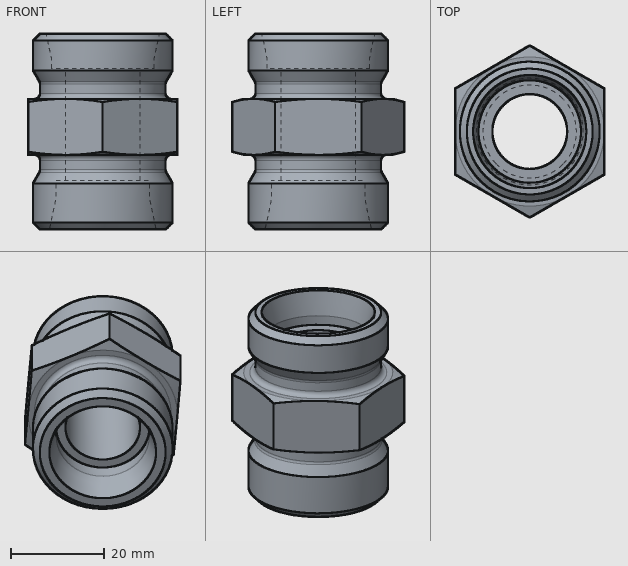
import cadquery as cq
import math


across_flats = 32.0
hex_height = 12.0
hex_chamfer_angle = 15.0

lower_end_length = 16.0
upper_end_length = 14.0
thread_diameter = 30.0
end_chamfer = 1.5

neck_diameter = 27.0
neck_length = 3.5
undercut_flare_angle = 30.0
undercut_radius = 1.2

bore_diameter = 16.0
cone_half_angle = 12.0
upper_tube_diameter = 22.0
upper_mouth_diameter = 24.3
upper_socket_depth = 7.5
lower_tube_diameter = 20.0
lower_mouth_diameter = 22.9
lower_socket_depth = 10.5

total_height = lower_end_length + hex_height + upper_end_length
hex_top = lower_end_length + hex_height
corner_radius = across_flats / 2 / math.cos(math.radians(30))


def revolve_about_z(profile):
    """Turn a closed (radius, height) profile around Z."""
    return profile.close().revolve(360, (0, 0, 0), (0, 1, 0))


def make_hexagon():
    """Hexagon with flats facing +X and -X, its corners turned off at both faces."""
    flat_radius = across_flats / 2
    chamfer_drop = (corner_radius - flat_radius) * math.tan(math.radians(hex_chamfer_angle))
    prism = (
        cq.Workplane("XY")
        .polygon(6, 2 * corner_radius)
        .extrude(hex_height)
        .rotate((0, 0, 0), (0, 0, 1), 30)
    )
    turned_blank = revolve_about_z(
        cq.Workplane("XZ")
        .lineTo(flat_radius, 0)
        .lineTo(corner_radius, chamfer_drop)
        .lineTo(corner_radius, hex_height - chamfer_drop)
        .lineTo(flat_radius, hex_height)
        .lineTo(0, hex_height)
    )
    return prism.intersect(turned_blank)


def make_threaded_end(length):
    """Undercut neck, flare and plain thread cylinder, rising from the hexagon face at Z = 0."""
    neck_radius = neck_diameter / 2
    thread_radius = thread_diameter / 2
    flare = math.radians(undercut_flare_angle)
    flare_end = neck_length + (thread_radius - neck_radius) / math.tan(flare)
    tangent_length = undercut_radius * math.tan(flare / 2)
    return revolve_about_z(
        cq.Workplane("XZ")
        .lineTo(neck_radius + undercut_radius, 0)
        .radiusArc((neck_radius, undercut_radius), undercut_radius)
        .lineTo(neck_radius, neck_length - tangent_length)
        .tangentArcPoint(
            (
                neck_radius + tangent_length * math.sin(flare),
                neck_length + tangent_length * math.cos(flare),
            ),
            relative=False,
        )
        .lineTo(thread_radius, flare_end)
        .lineTo(thread_radius, length - end_chamfer)
        .lineTo(thread_radius - end_chamfer, length)
        .lineTo(0, length)
    )


def make_socket(tube_diameter, mouth_diameter, depth):
    """Tube socket volume with its mouth at Z = 0, reaching up to Z = depth."""
    tube_radius = tube_diameter / 2
    mouth_radius = mouth_diameter / 2
    cone_depth = (mouth_radius - tube_radius) / math.tan(math.radians(cone_half_angle))
    return revolve_about_z(
        cq.Workplane("XZ")
        .lineTo(mouth_radius, 0)
        .lineTo(tube_radius, cone_depth)
        .lineTo(tube_radius, depth)
        .lineTo(0, depth)
    )


hexagon = make_hexagon().translate((0, 0, lower_end_length))
upper_end = make_threaded_end(upper_end_length).translate((0, 0, hex_top))
lower_end = make_threaded_end(lower_end_length).mirror("XY").translate((0, 0, lower_end_length))
body = hexagon.union(upper_end).union(lower_end)

bore = cq.Workplane("XY").circle(bore_diameter / 2).extrude(total_height)
lower_socket = make_socket(lower_tube_diameter, lower_mouth_diameter, lower_socket_depth)
upper_socket = (
    make_socket(upper_tube_diameter, upper_mouth_diameter, upper_socket_depth)
    .mirror("XY")
    .translate((0, 0, total_height))
)

result = body.cut(bore).cut(lower_socket).cut(upper_socket)